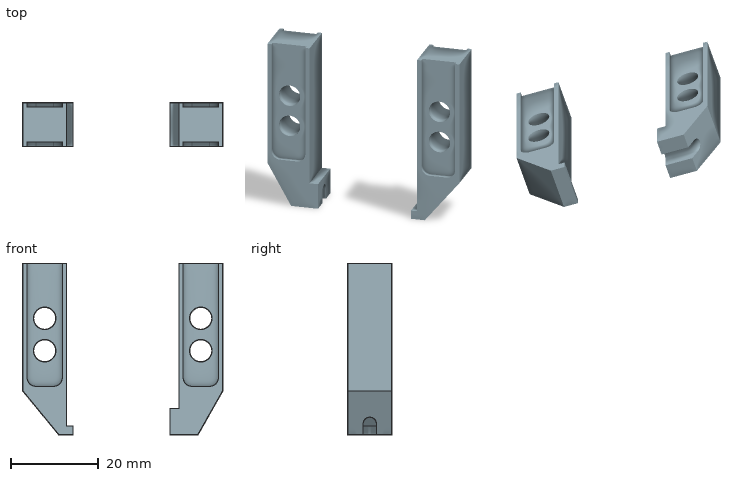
import cadquery as cq

overall_length = 45.5
jaw_height = 39.0
shank_width = 10.0
jaw_depth = 10.0
bevel_height = 9.95

left_lip_reach = 1.45
left_lip_height = 2.0
left_bevel_width = 8.2

right_lip_reach = 2.0
right_lip_height = 6.0
right_bevel_width = 5.65
slot_width = 3.0
slot_straight_height = 2.5

pocket_width = 8.0
pocket_depth = 1.0
pocket_floor_height = 11.0
pocket_corner_radius = 2.0

hole_diameter = 5.0
lower_hole_height = 19.1
hole_spacing = 7.35

shank_center_x = (overall_length - shank_width) / 2


def jaw_blank(center_x, inward, lip_reach, lip_height, bevel_width):
    """Extruded jaw outline; inward is the X sign pointing towards the other jaw."""
    inner_x = center_x + inward * shank_width / 2
    outer_x = center_x - inward * shank_width / 2
    lip_x = inner_x + inward * lip_reach
    outline = [
        (outer_x, jaw_height),
        (inner_x, jaw_height),
        (inner_x, lip_height),
        (lip_x, lip_height),
        (lip_x, 0),
        (outer_x + inward * bevel_width, 0),
        (outer_x, bevel_height),
    ]
    return cq.Workplane("XZ").polyline(outline).close().extrude(jaw_depth / 2, both=True)


def face_pocket(center_x, side):
    """Pocket cutter in the face on the given Y side, rounded at its lower corners."""
    pocket_height = jaw_height - pocket_floor_height
    return (
        cq.Workplane("XY")
        .box(pocket_width, pocket_depth, pocket_height, centered=(True, True, False))
        .faces("<Z")
        .edges("|Y")
        .fillet(pocket_corner_radius)
        .translate((center_x, side * (jaw_depth - pocket_depth) / 2, pocket_floor_height))
    )


def cross_holes(center_x):
    """Two hole cutters running along Y."""
    hole_centers = [(center_x, lower_hole_height + i * hole_spacing) for i in range(2)]
    return (
        cq.Workplane("XZ")
        .pushPoints(hole_centers)
        .circle(hole_diameter / 2)
        .extrude(jaw_depth / 2, both=True)
    )


def cut_shank_features(jaw, center_x):
    """Cut the pockets and cross holes shared by both jaws."""
    for side in (-1, 1):
        jaw = jaw.cut(face_pocket(center_x, side))
    return jaw.cut(cross_holes(center_x))


def foot_slot():
    """Round-topped slot cutter, open at the bottom, running along X through the right foot."""
    half_width = slot_width / 2
    start_x = shank_center_x - shank_width / 2 - right_lip_reach
    return (
        cq.Workplane("YZ", origin=(start_x, 0, 0))
        .moveTo(-half_width, 0)
        .lineTo(half_width, 0)
        .lineTo(half_width, slot_straight_height)
        .threePointArc((0, slot_straight_height + half_width), (-half_width, slot_straight_height))
        .close()
        .extrude(shank_width + right_lip_reach)
    )


def make_left_jaw():
    blank = jaw_blank(-shank_center_x, 1, left_lip_reach, left_lip_height, left_bevel_width)
    return cut_shank_features(blank, -shank_center_x)


def make_right_jaw():
    blank = jaw_blank(shank_center_x, -1, right_lip_reach, right_lip_height, right_bevel_width)
    return cut_shank_features(blank, shank_center_x).cut(foot_slot())


left_jaw = make_left_jaw()
right_jaw = make_right_jaw()

result = cq.Compound.makeCompound([left_jaw.solids().val(), right_jaw.solids().val()])